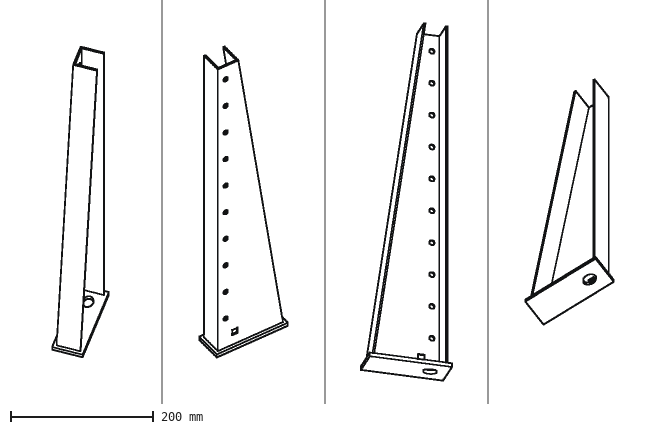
import cadquery as cq

plate_width = 45.0
plate_depth = 120.0
plate_thickness = 6.0
plate_margin = 5.0

total_height = 536.0
top_depth = 35.0
wall = 2.5

hole_count = 10
hole_diameter = 7.5
hole_row_length = 450.0
hole_from_back = 13.5
first_hole_above_plate = 54.5

square_side = 9.5
square_from_back = 29.0
square_above_plate = 22.5

oval_width = 15.0
oval_length = 20.0
oval_from_plate_back = 25.5

channel_width = plate_width - 2 * plate_margin
channel_left = -channel_width / 2
back = plate_depth / 2 - plate_margin
front_bottom = -back
front_top = back - top_depth
hole_pitch = hole_row_length / (hole_count - 1)
channel_height = total_height - plate_thickness
taper_slope = (front_top - front_bottom) / channel_height
sloped_wall = wall * (1 + taper_slope**2) ** 0.5


def tapered_block(front_inset, back_inset, left):
    """Trapezoidal block standing on the plate, from X = left to the channel's open side."""
    return (
        cq.Workplane("YZ", origin=(left, 0, 0))
        .moveTo(back - back_inset, plate_thickness)
        .lineTo(back - back_inset, total_height)
        .lineTo(front_top + front_inset, total_height)
        .lineTo(front_bottom + front_inset, plate_thickness)
        .close()
        .extrude(channel_width / 2 - left)
    )


def make_plate():
    """Base plate with its lengthwise elliptical hole near the back."""
    plate = cq.Workplane("XY").box(
        plate_width, plate_depth, plate_thickness, centered=(True, True, False)
    )
    oval_hole = (
        cq.Workplane("XY")
        .center(0, plate_depth / 2 - oval_from_plate_back)
        .ellipse(oval_width / 2, oval_length / 2)
        .extrude(plate_thickness)
    )
    return plate.cut(oval_hole)


def make_channel():
    """Channel with a web on the -X side and flanges at the back and the sloping front."""
    outside = tapered_block(0, 0, channel_left)
    inside = tapered_block(sloped_wall, wall, channel_left + wall)
    return outside.cut(inside)


def make_round_holes():
    """Cutters for the row of round holes up the web."""
    first_hole_z = plate_thickness + first_hole_above_plate
    hole_places = [
        (back - hole_from_back, first_hole_z + i * hole_pitch) for i in range(hole_count)
    ]
    return (
        cq.Workplane("YZ", origin=(channel_left, 0, 0))
        .pushPoints(hole_places)
        .circle(hole_diameter / 2)
        .extrude(wall)
    )


def make_square_hole():
    """Cutter for the square hole low in the web."""
    return (
        cq.Workplane("YZ", origin=(channel_left, 0, 0))
        .center(back - square_from_back, plate_thickness + square_above_plate)
        .rect(square_side, square_side)
        .extrude(wall)
    )


channel = make_channel().cut(make_round_holes()).cut(make_square_hole())
result = make_plate().union(channel)